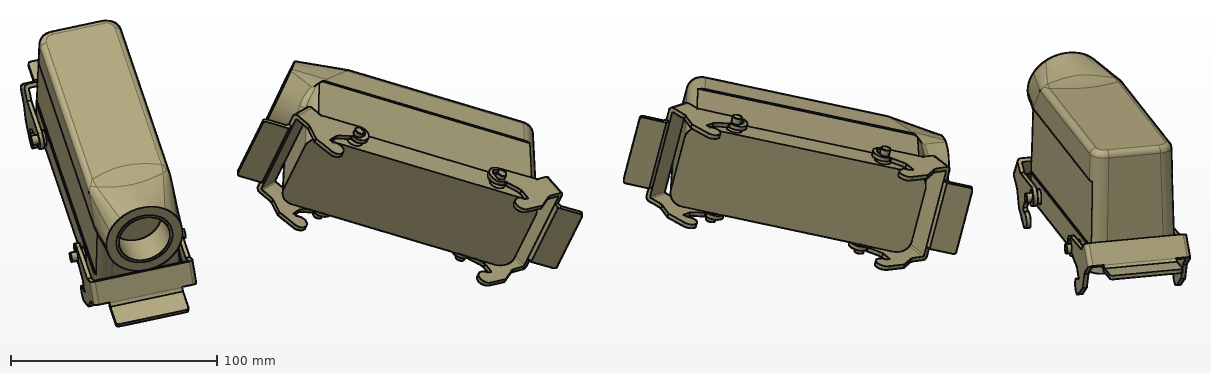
import cadquery as cq
import math

overall_length = 166.0
overall_width = 57.3

hood_length = 120.2
hood_width = 43.8
hood_height = 62.4
draft_angle = 1.4
corner_radius = 7.5
top_edge_radius = 3.2

panel_bottom = 12.8
panel_top = 46.1
panel_depth = 0.75

slant_start_x = 38.2
slant_angle = 47.5

entry_tilt = 15.0
entry_diameter = 38.2
mouth_x = 68.5
mouth_z = 50.6
mouth_split_angles = [36, 62, 92, 102]
neck_length = 24.9
neck_fillet_radius = 3.3
crease_fillet_radius = 53.1

sleeve_outer_diameter = 28.2
sleeve_inner_diameter = 25.5
sleeve_length = 16.6

pin_diameter = 4.6
pin_x = 37.0
pin_z = 6.0
pin_end_chamfer = 0.2
pin_root_diameter = 8.6
pin_root_start = 21.4
pin_root_end = 23.2

sheet = 2.2
lever_width = 51.6
lever_offset_y = 0.3
bend_outer_radius = 2.2
bend_inner_radius = 0.7
slot_shift_x = -1.5
slot_shift_z = 2.2
arm_end_radius = 5.0
hook_radius = 4.0
hook_x = 11.37
hook_z = -15.69
web_angle = 38.0
web_length = 11.8
web_top_x = 25.7
web_top_z = 11.1
handle_width = 36.5
handle_thickness = 2.0
handle_top = 0.5
handle_bend_run = 1.7
handle_corner_radius = 1.5
left_lever_swing = 1.2

half_width = hood_width / 2
draft = math.tan(math.radians(draft_angle))
slant_radians = math.radians(slant_angle)
slant_normal = cq.Vector(math.sin(slant_radians), 0, math.cos(slant_radians))
tilt_radians = math.radians(entry_tilt)
entry_plane = cq.Plane(
    origin=(mouth_x, 0, mouth_z),
    xDir=(0, 1, 0),
    normal=(math.cos(tilt_radians), 0, math.sin(tilt_radians)),
)
entry_radius = entry_diameter / 2

web_radians = math.radians(web_angle)
outward_x = math.cos(web_radians)
outward_z = math.sin(web_radians)
arm_end = (slot_shift_x / 2, slot_shift_z / 2)
arm_top_z = arm_end[1] + arm_end_radius
shoulder = (web_top_x - (web_top_z - arm_top_z) / math.tan(web_radians), arm_top_z)
web_top = (web_top_x, web_top_z)
web_bottom = (web_top_x + web_length * outward_z, web_top_z - web_length * outward_x)
web_foot = (web_bottom[0] - sheet * outward_x, web_bottom[1] - sheet * outward_z)
hook_center = (hook_x, hook_z)
hook_tangent = (hook_x + hook_radius * outward_z, hook_z - hook_radius * outward_x)
handle_end = overall_length / 2 - pin_x


def make_hood_block():
    """Drafted block with rounded upright corners, a rounded top rim and a slanted +X end."""
    block = cq.Workplane("XY").rect(hood_length, hood_width).extrude(hood_height, taper=draft_angle)
    block = block.edges("not(#Z or |X or |Y)").fillet(corner_radius)
    block = block.faces(">Z").edges().fillet(top_edge_radius)
    slant_end_x = slant_start_x + hood_height / math.tan(slant_radians)
    wedge = (
        cq.Workplane("XZ")
        .polyline([(slant_start_x, hood_height), (slant_end_x, 0), (slant_end_x, hood_height)])
        .close()
        .extrude(half_width, both=True)
    )
    return block.cut(wedge)


def make_panel_cutters():
    """Two slabs, with the draft of the hood, that leave a flat panel in each long side."""
    bottom_y = half_width - draft * panel_bottom - panel_depth
    top_y = half_width - draft * panel_top - panel_depth
    outline = [
        (bottom_y, panel_bottom),
        (top_y, panel_top),
        (half_width, panel_top),
        (half_width, panel_bottom),
    ]
    slab = cq.Workplane("YZ").polyline(outline).close().extrude(hood_length / 2, both=True)
    return slab.union(slab.mirror("XZ"))


def make_mouth_arc(start, end):
    """Arc of the mouth circle between two angles in degrees, counted from its top."""
    points = []
    for angle in (start, (start + end) / 2, end):
        turn = math.radians(angle)
        across = entry_radius * math.sin(turn)
        up = entry_radius * math.cos(turn)
        points.append(entry_plane.toWorldCoords((across, up)))
    return cq.Edge.makeThreePointArc(*points)


def make_entry_blend(slanted_face):
    """Ruled blend from the slanted end face of the hood to the round mouth."""
    starts = [-angle for angle in reversed(mouth_split_angles)] + mouth_split_angles
    ends = starts[1:] + [starts[0] + 360]
    mouth = cq.Wire.assembleEdges([make_mouth_arc(start, end) for start, end in zip(starts, ends)])
    return cq.Workplane(cq.Solid.makeLoft([slanted_face.outerWire(), mouth], True))


def make_entry_neck():
    """Half-round underside of the cable entry, reaching back into the hood."""
    return (
        cq.Workplane(entry_plane)
        .moveTo(-entry_radius, 0)
        .threePointArc((0, -entry_radius), (entry_radius, 0))
        .close()
        .extrude(-neck_length)
    )


def make_pivot_pins():
    """Pins with conical roots, two on each long side."""
    root_radius = pin_root_diameter / 2
    pin_radius = pin_diameter / 2
    pin_end = overall_width / 2
    profile = [
        (0, 0),
        (root_radius, 0),
        (root_radius, pin_root_start),
        (pin_radius, pin_root_end),
        (pin_radius, pin_end - pin_end_chamfer),
        (pin_radius - pin_end_chamfer, pin_end),
        (0, pin_end),
    ]
    stub = cq.Workplane("XY").polyline(profile).close().revolve(360, (0, 0), (0, 1))
    pin_pair = stub.union(stub.mirror("XZ")).translate((pin_x, 0, pin_z))
    return pin_pair.union(pin_pair.mirror("YZ"))


def make_housing():
    """Hood with its cable entry, side panels, sleeve seat and pivot pins."""
    block = make_hood_block()
    slanted_face = block.faces(cq.selectors.DirectionMinMaxSelector(slant_normal)).val()
    housing = block.cut(make_panel_cutters())
    housing = housing.union(make_entry_neck()).union(make_entry_blend(slanted_face))
    top_crease = cq.selectors.NearestToPointSelector((slant_start_x, 0, hood_height))
    housing = housing.edges(top_crease).fillet(crease_fillet_radius)
    end_wall_x = hood_length / 2
    neck_axis_z = mouth_z - (mouth_x - end_wall_x) * math.tan(tilt_radians)
    neck_bottom_z = neck_axis_z - entry_radius / math.cos(tilt_radians)
    neck_root = cq.selectors.NearestToPointSelector((end_wall_x, 0, neck_bottom_z))
    housing = housing.edges(neck_root).fillet(neck_fillet_radius)
    seat = cq.Workplane(entry_plane).circle(sleeve_outer_diameter / 2).extrude(-sleeve_length)
    return housing.cut(seat).union(make_pivot_pins())


def make_sleeve():
    """Ring set flush in the mouth of the cable entry."""
    return (
        cq.Workplane(entry_plane)
        .circle(sleeve_outer_diameter / 2)
        .circle(sleeve_inner_diameter / 2)
        .extrude(-sleeve_length)
    )


def make_lever_blank():
    """Side shape of a lever, with arm, hook and pin slot, across its whole width."""
    outline = [
        arm_end,
        (arm_end[0], arm_top_z),
        shoulder,
        web_top,
        web_bottom,
        (26.2, -3.5),
        (25.0, -4.8),
        (21.7, -13.0),
        hook_tangent,
        hook_center,
        (hook_x, hook_z + hook_radius),
        (12.8, -11.6),
        (14.3, -10.5),
        (11.0, -6.0),
        (9.3, -5.0),
        (3.5, -3.0),
    ]
    half_lever = lever_width / 2
    blank = cq.Workplane("XZ").polyline(outline).close().extrude(half_lever, both=True)
    for center, radius in ((arm_end, arm_end_radius), (hook_center, hook_radius)):
        blank = blank.union(cq.Workplane("XZ").center(*center).circle(radius).extrude(half_lever, both=True))
    slot_length = math.hypot(slot_shift_x, slot_shift_z) + pin_diameter
    slot_angle = math.degrees(math.atan2(slot_shift_z, slot_shift_x))
    slot = (
        cq.Workplane("XZ")
        .center(*arm_end)
        .slot2D(slot_length, pin_diameter, slot_angle)
        .extrude(half_lever, both=True)
    )
    return blank.cut(slot)


def make_lever_opening():
    """Space between the two sides of a lever, behind its web."""
    plane = cq.Plane(
        origin=(web_top_x - sheet * outward_x, 0, web_top_z - sheet * outward_z),
        xDir=(0, 1, 0),
        normal=(-outward_x, 0, -outward_z),
    )
    reach = 2 * lever_width
    opening = cq.Workplane(plane).rect(lever_width - 2 * sheet, reach).extrude(reach)
    web_face = opening.faces(cq.selectors.DirectionMinMaxSelector(cq.Vector(outward_x, 0, outward_z)))
    return web_face.edges("not |Y").fillet(bend_inner_radius)


def make_handle():
    """Flat tab bent outwards from the bottom edge of the web."""
    handle_bottom = handle_top - handle_thickness
    outline = [
        web_bottom,
        (web_bottom[0] + handle_bend_run, handle_top),
        (handle_end, handle_top),
        (handle_end, handle_bottom),
        (web_foot[0] + handle_bend_run, handle_bottom),
        web_foot,
    ]
    tab = cq.Workplane("XZ").polyline(outline).close().extrude(handle_width / 2, both=True)
    return tab.faces(">X").edges("|Z").fillet(handle_corner_radius)


def make_lever():
    """Lever for the +X end, with its pivot at the origin."""
    lever = make_lever_blank()
    web_middle_x = (web_top[0] + web_bottom[0]) / 2
    web_middle_z = (web_top[1] + web_bottom[1]) / 2
    for edge_y in (-lever_width / 2, lever_width / 2):
        bend = cq.selectors.NearestToPointSelector((web_middle_x, edge_y, web_middle_z))
        lever = lever.edges(bend).fillet(bend_outer_radius)
    return lever.cut(make_lever_opening()).union(make_handle())


housing = make_housing()
sleeve = make_sleeve()

levers = []
for side in (-1, 1):
    lever = make_lever()
    if side < 0:
        lever = lever.mirror("YZ").rotate((0, 0, 0), (0, 1, 0), left_lever_swing)
    levers.append(lever.translate((side * pin_x, lever_offset_y, pin_z)).val())

result = cq.Compound.makeCompound([housing.val(), sleeve.val(), *levers])